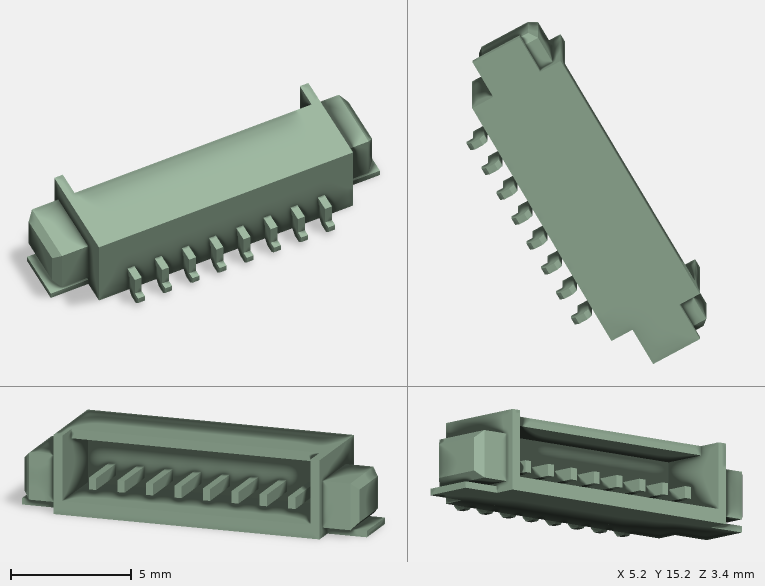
import cadquery as cq


housing_depth = 4.2
housing_length = 11.7
housing_height = 3.4
side_wall = 0.4
roof_wall = 0.4
floor_wall = 0.59
back_wall = 1.05
roof_setback = 1.1
cavity_depth = housing_depth - back_wall
cavity_length = housing_length - 2 * side_wall
cavity_height = housing_height - floor_wall - roof_wall

ear_front = 0.38
ear_width = 2.82
ear_length = 1.52
ear_base = 0.41
ear_height = 2.0
ear_chamfer = 0.3
ear_back = ear_front + ear_width

strip_front = 0.97
strip_width = ear_back - strip_front
strip_length = 15.15
strip_thickness = 0.27

pin_count = 8
pin_row_length = 8.75
pin_pitch = pin_row_length / (pin_count - 1)
pin_width = 0.32
pin_tip = 0.7
pin_base = 1.0
blade_height = 0.5
tail_height = 0.36
leg_front = housing_depth + 0.18
leg_back = housing_depth + 0.7
foot_end = housing_depth + 1.0
foot_height = 0.5
foot_chamfer = 0.21


def box(x_start, y_middle, z_start, x_size, y_size, z_size):
    """Box placed by its front X face, its Y middle and its bottom Z face."""
    return (
        cq.Workplane("XY")
        .box(x_size, y_size, z_size, centered=(False, True, False))
        .translate((x_start, y_middle, z_start))
    )


def make_ear(side):
    """Ear on the +Y (side = 1) or -Y (side = -1) end, chamfered around its outer face."""
    middle = side * (housing_length + ear_length) / 2
    outer_face = ">Y" if side > 0 else "<Y"
    ear = box(ear_front, middle, ear_base, ear_width, ear_length, ear_height)
    return ear.faces(outer_face).chamfer(ear_chamfer)


def make_strip():
    return box(strip_front, 0, 0, strip_width, strip_length, strip_thickness)


def make_pin(y_middle):
    """Blade in the cavity, lower tail through the back wall, leg down to a chamfered foot."""
    blade_top = pin_base + blade_height
    tail_top = pin_base + tail_height
    outline = [
        (pin_tip, pin_base),
        (pin_tip, blade_top),
        (cavity_depth, blade_top),
        (cavity_depth, tail_top),
        (leg_back, tail_top),
        (leg_back, foot_height),
        (foot_end, foot_height),
        (foot_end, foot_chamfer),
        (foot_end - foot_chamfer, 0),
        (leg_front + foot_chamfer, 0),
        (leg_front, foot_chamfer),
        (leg_front, pin_base),
    ]
    pin = cq.Workplane("XZ").polyline(outline).close().extrude(pin_width)
    return pin.translate((0, y_middle + pin_width / 2, 0))


def make_housing(pin_positions):
    shell = box(0, 0, 0, housing_depth, housing_length, housing_height)

    shell = shell.cut(box(0, 0, floor_wall, cavity_depth, cavity_length, cavity_height))
    shell = shell.cut(box(0, 0, floor_wall, roof_setback, cavity_length, housing_height))

    for side in (-1, 1):
        shell = shell.union(make_ear(side))

    shell = shell.cut(make_strip())
    for y_middle in pin_positions:
        shell = shell.cut(box(cavity_depth, y_middle, pin_base, back_wall, pin_width, tail_height))
    return shell.solids()


pin_positions = [i * pin_pitch - pin_row_length / 2 for i in range(pin_count)]

housing = make_housing(pin_positions)
solder_strip = make_strip()
pins = [make_pin(y_middle) for y_middle in pin_positions]

result = cq.Compound.makeCompound([housing.val(), solder_strip.val(), *[pin.val() for pin in pins]])